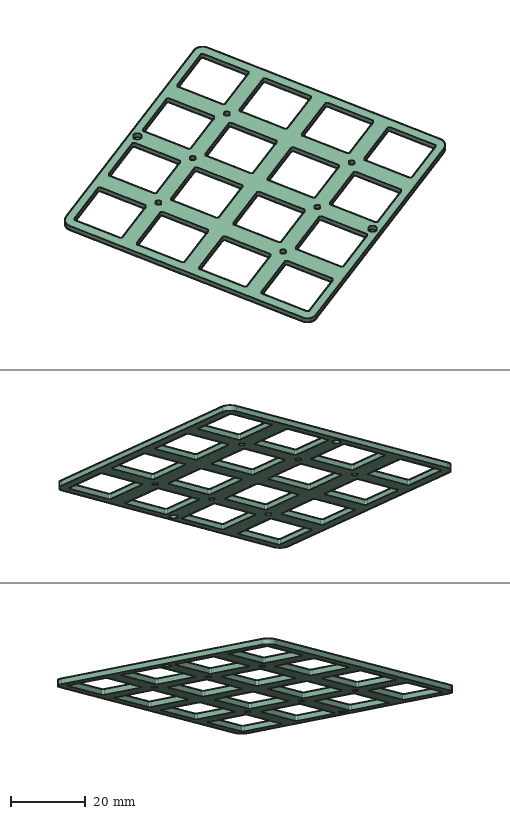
import cadquery as cq

PLATE_SIDE = 76.45
PLATE_THICKNESS = 1.6
PLATE_CORNER_RADIUS = 2.65

KEY_PITCH = 19.05
KEYS_PER_SIDE = 4
WINDOW_WIDTH = 14.6
WINDOW_HEIGHT = 14.0
WINDOW_CORNER_RADIUS = 0.5

WEB_HOLE_DIAMETER = 1.6
WEB_HOLE_COLUMNS = 2
WEB_HOLE_ROWS = 3
WEB_HOLE_COLUMN_SPACING = 2 * KEY_PITCH
WEB_HOLE_ROW_SPACING = KEY_PITCH

EDGE_HOLE_DIAMETER = 2.3
EDGE_HOLE_INSET = 2.25


def make_plate():
    """Flat square plate with rounded corners, resting on Z = 0."""
    return (
        cq.Workplane("XY")
        .rect(PLATE_SIDE, PLATE_SIDE)
        .extrude(PLATE_THICKNESS)
        .edges("|Z")
        .fillet(PLATE_CORNER_RADIUS)
    )


def make_key_windows():
    """Through-cutters for the grid of round-cornered key windows."""
    return (
        cq.Workplane("XY")
        .rarray(KEY_PITCH, KEY_PITCH, KEYS_PER_SIDE, KEYS_PER_SIDE)
        .rect(WINDOW_WIDTH, WINDOW_HEIGHT)
        .extrude(PLATE_THICKNESS)
        .edges("|Z")
        .fillet(WINDOW_CORNER_RADIUS)
    )


def make_web_holes():
    """Through-cutters for the small holes between the windows."""
    return (
        cq.Workplane("XY")
        .rarray(WEB_HOLE_COLUMN_SPACING, WEB_HOLE_ROW_SPACING, WEB_HOLE_COLUMNS, WEB_HOLE_ROWS)
        .circle(WEB_HOLE_DIAMETER / 2)
        .extrude(PLATE_THICKNESS)
    )


def make_edge_holes():
    """Through-cutters for the hole in each side border."""
    hole_x = PLATE_SIDE / 2 - EDGE_HOLE_INSET
    return (
        cq.Workplane("XY")
        .pushPoints([(-hole_x, 0), (hole_x, 0)])
        .circle(EDGE_HOLE_DIAMETER / 2)
        .extrude(PLATE_THICKNESS)
    )


result = (
    make_plate()
    .cut(make_key_windows())
    .cut(make_web_holes())
    .cut(make_edge_holes())
)